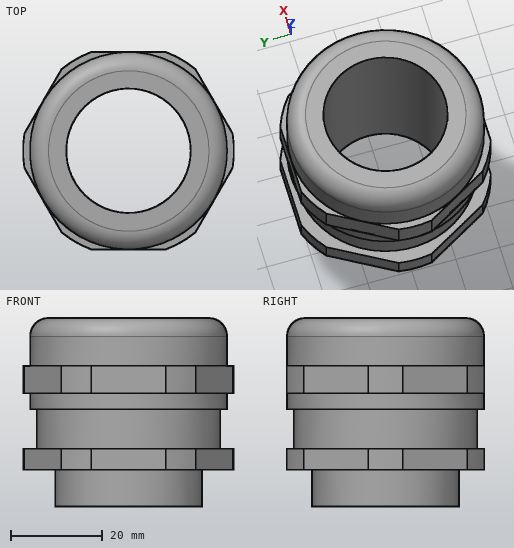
import cadquery as cq
import math

across_flats = 43.0
across_corners = 45.95
cap_diameter = 42.9
neck_diameter = 40.0
spigot_diameter = 32.0
bore_diameter = 27.0

lower_hex_bottom = 8.0
lower_hex_top = 12.6
cap_bottom = 21.15
upper_hex_bottom = 24.6
upper_hex_top = 30.6
total_height = 41.0

cap_rounding = 4.0


def cylinder(diameter, bottom, top):
    return cq.Workplane("XY").workplane(offset=bottom).circle(diameter / 2).extrude(top - bottom)


def rounded_hex(bottom, top):
    """Hexagon with flats facing +Y and -Y, its corners turned down to a cylinder."""
    corner_radius = across_flats / 2 / math.cos(math.radians(30))
    corner_angles = [math.radians(60 * corner) for corner in range(6)]
    corners = [(corner_radius * math.cos(a), corner_radius * math.sin(a)) for a in corner_angles]
    hexagon = cq.Workplane("XY").workplane(offset=bottom).polyline(corners).close().extrude(top - bottom)
    return hexagon.intersect(cylinder(across_corners, bottom, top))


spigot = cylinder(spigot_diameter, 0, lower_hex_bottom)
lower_hex = rounded_hex(lower_hex_bottom, lower_hex_top)
neck = cylinder(neck_diameter, lower_hex_top, cap_bottom)

cap = cylinder(cap_diameter, cap_bottom, total_height).faces(">Z").edges().fillet(cap_rounding)
upper_hex = rounded_hex(upper_hex_bottom, upper_hex_top)

bore = cylinder(bore_diameter, 0, total_height)

result = spigot.union(lower_hex).union(neck).union(cap).union(upper_hex).cut(bore)